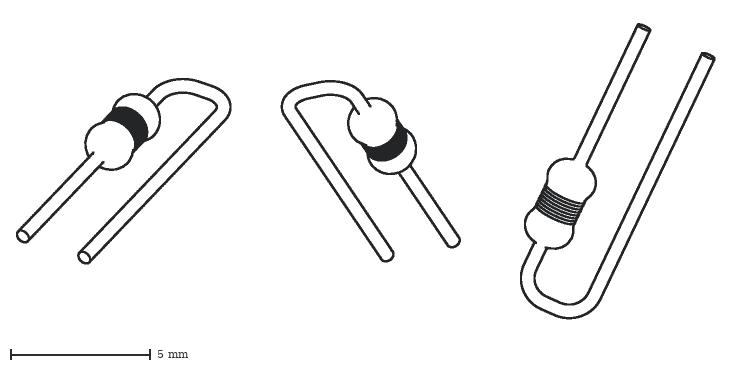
import cadquery as cq
import math

total_length = 11.05
lead_radius = 0.5 / 2
lead_pitch = 2.54
bend_radius = 1.01
lead_end_y = -7.2
waist_radius = 1.52 / 2
band_radius = 1.55 / 2
bulge_radius = 1.8 / 2
bulge_y = 0.96
dome_radius = 0.66
neck_end_y = 1.77
band_width = 0.12
band_count = 4

band_pitch = 2 * band_width
waist_half_length = (band_count - 0.5) * band_width
top_y = lead_end_y + total_length - lead_radius


def arc_point(center, radius, angle):
    return center[0] + radius * math.cos(angle), center[1] + radius * math.sin(angle)


def make_end_bulb():
    rise = bulge_radius - waist_radius
    run = bulge_y - waist_half_length
    shoulder_radius = (run**2 + rise**2) / (4 * rise)
    shoulder_angle = math.asin(run / (2 * shoulder_radius))
    hollow_center = (waist_radius + shoulder_radius, waist_half_length)
    swell_center = (bulge_radius - shoulder_radius, bulge_y)
    shoulder_mid = ((waist_radius + bulge_radius) / 2, (waist_half_length + bulge_y) / 2)

    dome_center = (bulge_radius - dome_radius, bulge_y)
    neck_run = neck_end_y - bulge_y
    axis_offset = lead_radius - dome_center[0]
    neck_radius = (neck_run**2 + axis_offset**2 - dome_radius**2) / (2 * (dome_radius - axis_offset))
    neck_center = (lead_radius + neck_radius, neck_end_y)
    dome_angle = math.atan2(neck_run, neck_center[0] - dome_center[0])

    return (
        cq.Workplane("XY")
        .moveTo(0, waist_half_length)
        .lineTo(waist_radius, waist_half_length)
        .threePointArc(arc_point(hollow_center, shoulder_radius, math.pi - shoulder_angle / 2), shoulder_mid)
        .threePointArc(
            arc_point(swell_center, shoulder_radius, -shoulder_angle / 2),
            (bulge_radius, bulge_y),
        )
        .threePointArc(
            arc_point(dome_center, dome_radius, dome_angle / 2),
            arc_point(dome_center, dome_radius, dome_angle),
        )
        .threePointArc(
            arc_point(neck_center, neck_radius, (dome_angle + 2 * math.pi) / 2),
            (lead_radius, neck_end_y),
        )
        .lineTo(0, neck_end_y)
        .close()
        .revolve(360, (0, 0, 0), (0, 1, 0))
    )


def make_cylinder(radius, length, center_y):
    return cq.Workplane("XZ", origin=(0, center_y + length / 2, 0)).circle(radius).extrude(length)


def make_lead():
    bend_start_y = top_y - bend_radius
    path = (
        cq.Workplane("XY")
        .moveTo(0, lead_end_y)
        .lineTo(0, bend_start_y)
        .radiusArc((bend_radius, top_y), bend_radius)
        .lineTo(lead_pitch - bend_radius, top_y)
        .radiusArc((lead_pitch, bend_start_y), bend_radius)
        .lineTo(lead_pitch, lead_end_y)
    )
    return cq.Workplane("XZ", origin=(0, lead_end_y, 0)).circle(lead_radius).sweep(path)


end_bulb = make_end_bulb()
waist = make_cylinder(waist_radius, 2 * waist_half_length, 0)
result = waist.union(end_bulb).union(end_bulb.mirror("XZ")).union(make_lead())

for index in range(band_count):
    band_y = (index - (band_count - 1) / 2) * band_pitch
    result = result.union(make_cylinder(band_radius, band_width, band_y))